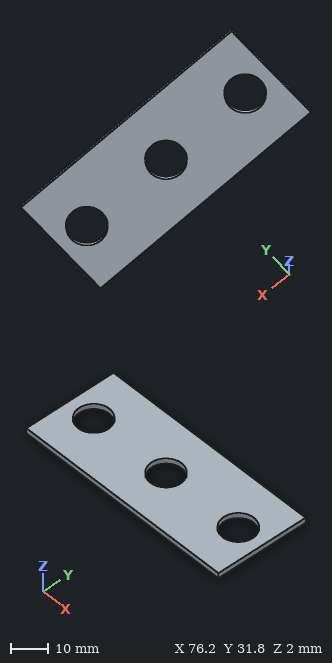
import cadquery as cq

length = 76.2
width = 31.8
thickness = 2.0

hole_diameter = 11.2
hole_spacing = 28.65
hole_count = 3

plate = cq.Workplane("XY").box(length, width, thickness)

result = (
    plate.faces(">Z")
    .workplane()
    .rarray(hole_spacing, width, hole_count, 1)
    .hole(hole_diameter)
)